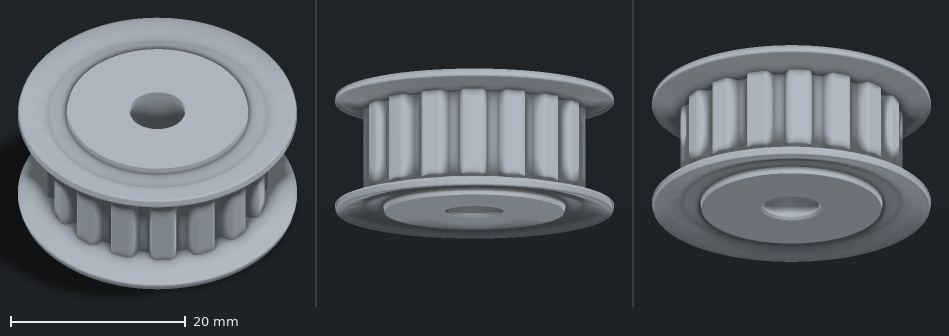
import cadquery as cq
import math

flange_diameter = 31.98
overall_height = 13.65

tooth_count = 16
tip_diameter = 25.35
toothed_height = 10.15
groove_depth = 1.4
groove_floor_width = 1.2
groove_half_angle = 25.0
tip_round = 0.6

sheet_thickness = 1.0
dish_angle = 14.0
rim_round = 0.25

hub_base_diameter = 20.9
hub_face_diameter = 20.6

bore_diameter = 6.35
bore_chamfer = 0.3

flange_radius = flange_diameter / 2
tip_radius = tip_diameter / 2
half_height = overall_height / 2
half_toothed = toothed_height / 2
root_radius = tip_radius - groove_depth

dish_sine = math.sin(math.radians(dish_angle))
dish_cosine = math.cos(math.radians(dish_angle))
dish_slope = dish_sine / dish_cosine


def toothed_body():
    """Cylinder with straight-sided grooves cut along its full length, tooth tips rounded."""
    cut_radius = tip_radius + groove_depth
    floor_half = groove_floor_width / 2
    mouth_half = floor_half + (cut_radius - root_radius) * math.tan(math.radians(groove_half_angle))
    groove = (
        cq.Workplane("XY", origin=(0, 0, -half_toothed))
        .polyline([
            (root_radius, -floor_half),
            (cut_radius, -mouth_half),
            (cut_radius, mouth_half),
            (root_radius, floor_half),
        ])
        .close()
        .extrude(toothed_height)
    )
    body = cq.Workplane("XY", origin=(0, 0, -half_toothed)).circle(tip_radius).extrude(toothed_height)
    for index in range(tooth_count):
        body = body.cut(groove.rotate((0, 0, 0), (0, 0, 1), index * 360 / tooth_count))
    between_root_and_tip = (root_radius + tip_radius) / 2
    tip_edges = [
        edge for edge in body.edges("|Z").vals()
        if math.hypot(edge.Center().x, edge.Center().y) > between_root_and_tip
    ]
    return body.newObject(tip_edges).fillet(tip_round)


def upper_flange():
    """Bent sheet flange, its rim square to the sheet and rounded on both edges, turned about Z."""
    flat_level = half_toothed + sheet_thickness
    bend_radius_below = tip_radius
    bend_radius_above = tip_radius - sheet_thickness * math.tan(math.radians(dish_angle / 2))
    lower_corner_radius = flange_radius + rim_round * (dish_sine + dish_cosine - 1)
    lower_corner_level = half_toothed + dish_slope * (lower_corner_radius - bend_radius_below)
    upper_corner_radius = lower_corner_radius - sheet_thickness * dish_sine
    upper_corner_level = lower_corner_level + sheet_thickness * dish_cosine
    sharp_flange = (
        cq.Workplane("XZ")
        .moveTo(0, half_toothed)
        .lineTo(bend_radius_below, half_toothed)
        .lineTo(lower_corner_radius, lower_corner_level)
        .lineTo(upper_corner_radius, upper_corner_level)
        .lineTo(bend_radius_above, flat_level)
        .lineTo(0, flat_level)
        .close()
        .revolve(360, (0, 0, 0), (0, 1, 0))
    )
    rim_edges = [
        edge for edge in sharp_flange.edges("%CIRCLE").vals()
        if edge.radius() > (tip_radius + flange_radius) / 2
    ]
    return sharp_flange.newObject(rim_edges).fillet(rim_round)


def upper_hub():
    """Slightly tapered hub face standing inside the dish."""
    return (
        cq.Workplane("XZ")
        .moveTo(0, half_toothed)
        .lineTo(hub_base_diameter / 2, half_toothed)
        .lineTo(hub_base_diameter / 2, half_toothed + sheet_thickness)
        .lineTo(hub_face_diameter / 2, half_height)
        .lineTo(0, half_height)
        .close()
        .revolve(360, (0, 0, 0), (0, 1, 0))
    )


def bore():
    """Through hole with a chamfer at each end."""
    radius = bore_diameter / 2
    return (
        cq.Workplane("XZ")
        .moveTo(0, -half_height)
        .lineTo(radius + bore_chamfer, -half_height)
        .lineTo(radius, bore_chamfer - half_height)
        .lineTo(radius, half_height - bore_chamfer)
        .lineTo(radius + bore_chamfer, half_height)
        .lineTo(0, half_height)
        .close()
        .revolve(360, (0, 0, 0), (0, 1, 0))
    )


upper_end = upper_flange().union(upper_hub())
lower_end = upper_end.mirror("XY")
result = toothed_body().union(upper_end).union(lower_end).cut(bore())